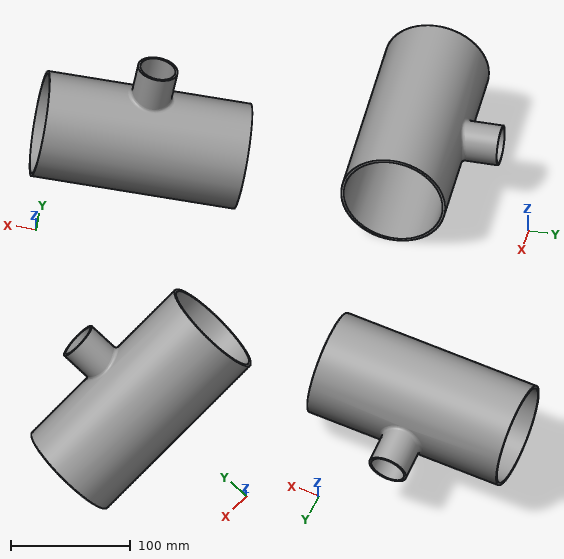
import cadquery as cq

run_length = 172.0
run_outer_diameter = 89.0
run_bore_diameter = 84.3

branch_outer_diameter = 33.7
branch_bore_diameter = 29.8
overall_width = 117.5
branch_reach = overall_width - run_outer_diameter / 2
junction_fillet = 3.0


def run_cylinder(diameter):
    """Solid cylinder along X over the full length of the run."""
    return cq.Workplane("YZ").circle(diameter / 2).extrude(run_length / 2, both=True)


def branch_cylinder(diameter):
    """Solid cylinder from the run axis to the open end of the branch."""
    return cq.Workplane("XZ").circle(diameter / 2).extrude(-branch_reach)


def outer_body():
    """Solid tee with the branch blended into the outside of the run."""
    tee = run_cylinder(run_outer_diameter).union(branch_cylinder(branch_outer_diameter))
    joint = tee.edges("not(%CIRCLE or %LINE)")
    return joint.fillet(junction_fillet)


result = (
    outer_body()
    .cut(run_cylinder(run_bore_diameter))
    .cut(branch_cylinder(branch_bore_diameter))
)